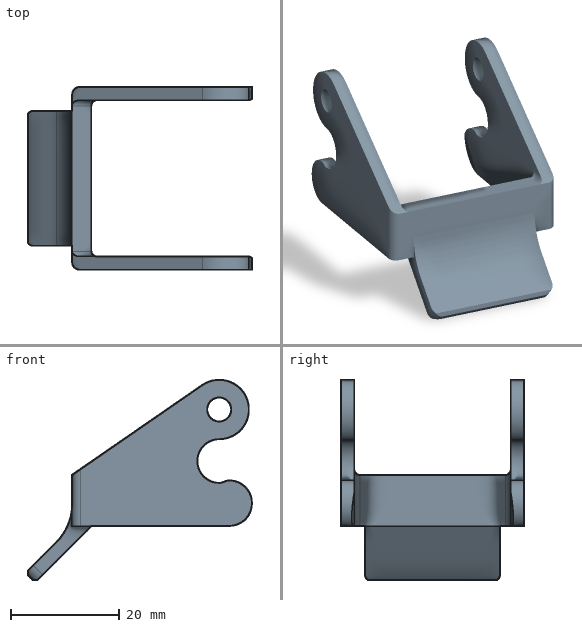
import cadquery as cq
import math


length = 41.45
width = 33.9
height = 37.07

leg_thickness = 2.5
wall_thickness = 3.6
wall_height = 9.45
outer_bend_radius = 1.5
inner_bend_radius = 1.0
gap_width = width - 2 * leg_thickness

hinge_x = 27.25
hinge_z = 21.55
lug_radius = 5.5
hinge_hole_diameter = 4.4

tab_width = 25.0
tab_thickness = 2.5
tab_angle = math.radians(45)
tab_bend_radius = 9.95
tab_corner_radius = 2.0
tab_edge_chamfer = 0.62
tab_drop = height - hinge_z - lug_radius
tab_side_length = tab_drop / math.sin(tab_angle)
tab_length = tab_side_length + tab_edge_chamfer
tab_reach = tab_side_length * math.cos(tab_angle) + tab_thickness * math.sin(tab_angle) - wall_thickness

notch_radius = 4.02
notch_z = hinge_z - lug_radius - notch_radius
hook_radius = 4.25
hook_x = length - tab_reach - hook_radius

lead_in_angle = math.radians(50)
lead_in_offset = 1.5
lead_in_depth = 0.5


def point_on_circle(x, z, radius, angle):
    return (x + radius * math.cos(angle), z + radius * math.sin(angle))


def extrude_across(outline, extent):
    """Extrude an XZ outline by extent, centred on the Y = 0 plane."""
    return outline.extrude(extent / 2, both=True)


def make_side_blank():
    """Full-width block with the leg outline, before it is hollowed into a U."""
    rise = hinge_z - wall_height
    slope = math.atan2(rise, hinge_x) + math.asin(lug_radius / math.hypot(hinge_x, rise))
    lug_start = point_on_circle(hinge_x, hinge_z, lug_radius, slope + math.pi / 2)
    lug_middle = (hinge_x + lug_radius, hinge_z)
    lug_end = (hinge_x, hinge_z - lug_radius)
    notch_middle = (hinge_x - notch_radius, notch_z)

    notch_bottom = (hinge_x, notch_z - notch_radius)
    hook_top = (hook_x, 2 * hook_radius)
    rise_middle = ((notch_bottom[0] + hook_top[0]) / 2, (notch_bottom[1] + hook_top[1]) / 2)

    outline = (
        cq.Workplane("XZ")
        .lineTo(0, wall_height)
        .lineTo(*lug_start)
        .threePointArc(lug_middle, lug_end)
        .threePointArc(notch_middle, notch_bottom)
        .tangentArcPoint(rise_middle, relative=False)
        .tangentArcPoint(hook_top, relative=False)
        .threePointArc((hook_x + hook_radius, hook_radius), (hook_x, 0))
        .close()
    )
    blank = extrude_across(outline, width)
    return blank.edges("|Z").edges("<X").fillet(outer_bend_radius)


def make_gap_behind_wall():
    """Space between the legs, with rounded vertical corners at the wall."""
    gap = cq.Workplane("XY").box(length, gap_width, height, centered=(False, True, False))
    return gap.edges("|Z and <X").fillet(inner_bend_radius).translate((wall_thickness, 0, 0))


def make_gap_above_wall():
    """Space over the wall, with rounded corners where the wall top meets the legs."""
    gap = cq.Workplane("XY").box(length, gap_width, height, centered=(False, True, False))
    return gap.edges("|X and <Z").fillet(inner_bend_radius).translate((0, 0, wall_height))


def make_hinge_hole():
    hole = cq.Workplane("XZ").center(hinge_x, hinge_z).circle(hinge_hole_diameter / 2)
    return extrude_across(hole, width)


def make_lead_in():
    """Wedge removed from the inner face of the +Y hook, deepest at the hook's edge."""
    run = hook_radius - lead_in_offset
    inner_face = gap_width / 2
    wedge = (
        cq.Workplane("XY")
        .moveTo(lead_in_offset, inner_face)
        .lineTo(lead_in_offset + 2 * run, inner_face + 2 * lead_in_depth)
        .lineTo(lead_in_offset + 2 * run, inner_face)
        .close()
        .extrude(hook_radius, both=True)
    )
    turn = math.degrees(math.pi / 2 - lead_in_angle)
    return wedge.rotate((0, 0, 0), (0, 1, 0), turn).translate((hook_x, 0, hook_radius))


def tab_point(along, across):
    """Point on the tab: along its slope from the wall, across from its lower face."""
    x = wall_thickness - along * math.cos(tab_angle) - across * math.sin(tab_angle)
    z = -along * math.sin(tab_angle) + across * math.cos(tab_angle)
    return (x, z)


def make_tab():
    """Thumb tab with a curved root, bevelled end edges and rounded corners."""
    tangent_length = tab_bend_radius * math.tan(tab_angle / 2)
    face_crossing = wall_thickness / math.cos(tab_angle) - tab_thickness * math.tan(tab_angle)
    bend_end = tab_point(face_crossing + tangent_length, tab_thickness)
    bend_start_z = tab_point(face_crossing, tab_thickness)[1] + tangent_length
    bend_middle = point_on_circle(-tab_bend_radius, bend_start_z, tab_bend_radius, -tab_angle / 2)

    outline = (
        cq.Workplane("XZ")
        .moveTo(0, bend_start_z)
        .threePointArc(bend_middle, bend_end)
        .lineTo(*tab_point(tab_side_length, tab_thickness))
        .lineTo(*tab_point(tab_length, tab_thickness - tab_edge_chamfer))
        .lineTo(*tab_point(tab_length, tab_edge_chamfer))
        .lineTo(*tab_point(tab_side_length, 0))
        .lineTo(wall_thickness, 0)
        .lineTo(wall_thickness, bend_start_z)
        .close()
    )
    tab = extrude_across(outline, tab_width)

    trim = (
        cq.Workplane("XY")
        .box(2 * tab_length, tab_width, height)
        .edges("|Z and <X")
        .fillet(tab_corner_radius)
        .translate((tab_length, 0, 0))
        .rotate((0, 0, 0), (0, 1, 0), -math.degrees(tab_angle))
    )
    end_x, end_z = tab_point(tab_length, 0)
    return tab.intersect(trim.translate((end_x, 0, end_z)))


lead_in = make_lead_in()
bracket = (
    make_side_blank()
    .cut(make_gap_behind_wall())
    .cut(make_gap_above_wall())
    .cut(make_hinge_hole())
    .cut(lead_in)
    .cut(lead_in.mirror("XZ"))
)
result = bracket.union(make_tab())